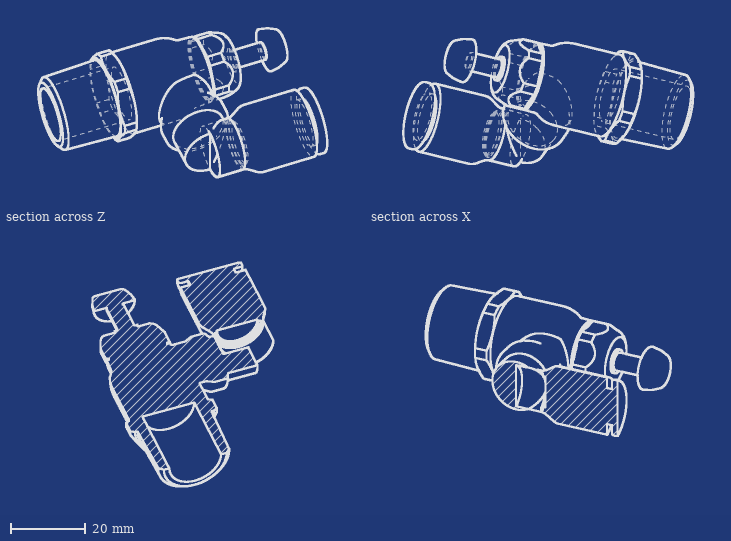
import cadquery as cq
import math

BORE_RADIUS = 7.4
THREAD_TIP_RADIUS = 9.05
THREAD_START_DIAMETER = 20.6
THREAD_START_RADIUS = THREAD_START_DIAMETER / 2
THREAD_CHAMFER = 1.15
THREAD_HALF_TAPER = 1 / 32
HEX_BOTTOM_Y = 16.0
HEX_TOP_Y = 20.65
HEX_FLATS = 23.0
HEX_CORNER_DIAMETER = 25.05
HEX_CORNER_RADIUS = HEX_CORNER_DIAMETER / 2
HEX_CHAMFER = 0.6
BODY_RADIUS = 11.4
SHOULDER_BOTTOM_Y = 34.1
SHOULDER_TOP_Y = 38.95
SHOULDER_TOP_RADIUS = 9.8
NECK_BOTTOM_Y = 40.35
NECK_BOTTOM_RADIUS = 9.4
NECK_TOP_Y = 43.95
NECK_TOP_RADIUS = 9.25
NECK_EDGE_CHAMFER = 0.2

NUT_BOTTOM_Y = 44.2
NUT_FLATS = 17.2
NUT_CORNER_DIAMETER = 18.55
NUT_CORNER_RADIUS = NUT_CORNER_DIAMETER / 2
NUT_CONE_Y = 48.25
NUT_ROUND_Y = 51.3
NUT_ROUND_RADIUS = 8.2
NUT_TOP_Y = 52.8
NUT_TOP_RADIUS = 6.6
RELIEF_RADIUS = 8.45

WASHER_TOP_Y = 53.4
WASHER_RADIUS = 3.3
STEM_RADIUS = 2.5
STEM_CHAMFER = 0.3
KNOB_BOTTOM_Y = 62.1
KNOB_BOTTOM_ROUND = 0.4
KNOB_DIAMETER = 11.95
KNOB_RADIUS = KNOB_DIAMETER / 2
KNOB_DOME_Y = 66.9
KNOB_DOME_RADIUS = 4.65
KNOB_DOME_BULGE = 0.3
KNOB_TOP_Y = 67.5
KNOB_TOP_RADIUS = 3.5

BRANCH_Y = 35.0
BRANCH_RADIUS = 8.0
FLARE_START_X = 13.0
FLARE_CONE_X = 13.65
FLARE_CONE_RADIUS = 8.25
FLARE_END_X = 14.9
FLARE_END_RADIUS = 8.9
COLLAR_START_X = 15.45
COLLAR_RADIUS = 9.1
COLLAR_END_X = 18.55
COLLAR_LIP_X = 19.3
COLLAR_LIP_RADIUS = 8.7
ELBOW_START_X = 19.85

ELBOW_X = 28.4
ELBOW_RADIUS = 7.3
ELBOW_WALL = 0.15
ELBOW_POCKET_RADIUS = 6.55
ELBOW_RECESS_RADIUS = 5.9
ELBOW_STEP = 0.7
TAPER_FOOT_Y = 42.4
TAPER_BOTTOM_Y = 43.9
TAPER_BOTTOM_RADIUS = 7.6
TAPER_TOP_Y = 46.25
TAPER_TOP_RADIUS = 9.05
SLEEVE_DIAMETER = 19.0
SLEEVE_RADIUS = SLEEVE_DIAMETER / 2
SLEEVE_BOTTOM_Y = 47.65
SLEEVE_TOP_Y = 62.4
RELEASE_NECK_RADIUS = 6.6
RELEASE_BOTTOM_Y = 63.7
RELEASE_TOP_Y = 65.6
RELEASE_DIAMETER = 18.55
RELEASE_RADIUS = RELEASE_DIAMETER / 2
RELEASE_TOP_ROUND = 0.4
RELEASE_BOTTOM_ROUND = 0.6


def turned(profile):
    """Revolve a profile, drawn as (radius, y), about the Y axis."""
    return profile.close().revolve(360, (0, 0, 0), (0, 1, 0))


def cylinder(radius, bottom_y, top_y):
    return cq.Workplane("XZ", origin=(0, bottom_y, 0)).circle(radius).extrude(bottom_y - top_y)


def hexagon(flats, bottom_y, top_y):
    """Hexagonal prism along Y with two flats facing +Z and -Z."""
    across_corners = flats / math.cos(math.pi / 6)
    return cq.Workplane("XZ", origin=(0, bottom_y, 0)).polygon(6, across_corners).extrude(bottom_y - top_y)


def bulged_point(start, end, bulge):
    """Middle point of an arc that rises by bulge to the outer side of an upward chord."""
    run = end[0] - start[0]
    rise = end[1] - start[1]
    chord = math.hypot(run, rise)
    middle_radius = (start[0] + end[0]) / 2
    middle_y = (start[1] + end[1]) / 2
    return middle_radius + bulge * rise / chord, middle_y - bulge * run / chord


def make_body():
    thread_top_radius = THREAD_START_RADIUS + THREAD_HALF_TAPER * (HEX_BOTTOM_Y - THREAD_CHAMFER)
    profile = (
        cq.Workplane("XY")
        .lineTo(THREAD_TIP_RADIUS, 0)
        .lineTo(THREAD_START_RADIUS, THREAD_CHAMFER)
        .lineTo(thread_top_radius, HEX_BOTTOM_Y)
        .lineTo(BODY_RADIUS, HEX_BOTTOM_Y)
        .lineTo(BODY_RADIUS, SHOULDER_BOTTOM_Y)
        .tangentArcPoint((SHOULDER_TOP_RADIUS, SHOULDER_TOP_Y), relative=False)
        .tangentArcPoint((NECK_BOTTOM_RADIUS, NECK_BOTTOM_Y), relative=False)
        .lineTo(NECK_TOP_RADIUS, NECK_TOP_Y - NECK_EDGE_CHAMFER)
        .lineTo(NECK_TOP_RADIUS - NECK_EDGE_CHAMFER, NECK_TOP_Y)
        .lineTo(0, NECK_TOP_Y)
    )
    return turned(profile).union(make_body_hex())


def make_body_hex():
    """Wrench hexagon whose corners are rounded and chamfered on both sides."""
    envelope = turned(
        cq.Workplane("XY")
        .moveTo(0, HEX_BOTTOM_Y)
        .lineTo(BODY_RADIUS, HEX_BOTTOM_Y)
        .lineTo(HEX_CORNER_RADIUS, HEX_BOTTOM_Y + HEX_CHAMFER)
        .lineTo(HEX_CORNER_RADIUS, HEX_TOP_Y - HEX_CHAMFER)
        .lineTo(BODY_RADIUS, HEX_TOP_Y)
        .lineTo(0, HEX_TOP_Y)
    )
    return hexagon(HEX_FLATS, HEX_BOTTOM_Y, HEX_TOP_Y).intersect(envelope)


def make_nut():
    envelope = turned(
        cq.Workplane("XY")
        .moveTo(0, NUT_BOTTOM_Y)
        .lineTo(NUT_CORNER_RADIUS, NUT_BOTTOM_Y)
        .lineTo(NUT_CORNER_RADIUS, NUT_CONE_Y)
        .lineTo(NUT_ROUND_RADIUS, NUT_ROUND_Y)
        .tangentArcPoint((NUT_TOP_RADIUS, NUT_TOP_Y), relative=False)
        .lineTo(0, NUT_TOP_Y)
    )
    nut = hexagon(NUT_FLATS, NUT_BOTTOM_Y, NUT_TOP_Y).intersect(envelope)
    return nut.union(cylinder(RELIEF_RADIUS, NECK_TOP_Y, NUT_BOTTOM_Y))


def make_knob():
    dome_start = (KNOB_RADIUS, KNOB_BOTTOM_Y + KNOB_BOTTOM_ROUND)
    dome_end = (KNOB_DOME_RADIUS, KNOB_DOME_Y)
    profile = (
        cq.Workplane("XY")
        .moveTo(0, NUT_TOP_Y)
        .lineTo(WASHER_RADIUS, NUT_TOP_Y)
        .lineTo(WASHER_RADIUS, WASHER_TOP_Y)
        .lineTo(STEM_RADIUS, WASHER_TOP_Y)
        .lineTo(STEM_RADIUS, KNOB_BOTTOM_Y - STEM_CHAMFER)
        .lineTo(STEM_RADIUS - STEM_CHAMFER, KNOB_BOTTOM_Y)
        .lineTo(KNOB_RADIUS - KNOB_BOTTOM_ROUND, KNOB_BOTTOM_Y)
        .tangentArcPoint(dome_start, relative=False)
        .threePointArc(bulged_point(dome_start, dome_end, KNOB_DOME_BULGE), dome_end)
        .tangentArcPoint((KNOB_TOP_RADIUS, KNOB_TOP_Y), relative=False)
        .lineTo(0, KNOB_TOP_Y)
    )
    return turned(profile)


def make_branch():
    profile = (
        cq.Workplane("XY", origin=(0, BRANCH_Y, 0))
        .lineTo(0, BRANCH_RADIUS)
        .lineTo(FLARE_START_X, BRANCH_RADIUS)
        .tangentArcPoint((FLARE_CONE_X, FLARE_CONE_RADIUS), relative=False)
        .lineTo(FLARE_END_X, FLARE_END_RADIUS)
        .tangentArcPoint((COLLAR_START_X, COLLAR_RADIUS), relative=False)
        .lineTo(COLLAR_END_X, COLLAR_RADIUS)
        .tangentArcPoint((COLLAR_LIP_X, COLLAR_LIP_RADIUS), relative=False)
        .lineTo(ELBOW_START_X, ELBOW_RADIUS)
        .lineTo(ELBOW_X, ELBOW_RADIUS)
        .lineTo(ELBOW_X, 0)
        .close()
    )
    return profile.revolve(360, (0, 0, 0), (1, 0, 0))


def make_sleeve():
    profile = (
        cq.Workplane("XY")
        .moveTo(0, BRANCH_Y)
        .lineTo(ELBOW_RADIUS, BRANCH_Y)
        .lineTo(ELBOW_RADIUS, TAPER_FOOT_Y)
        .tangentArcPoint((TAPER_BOTTOM_RADIUS, TAPER_BOTTOM_Y), relative=False)
        .lineTo(TAPER_TOP_RADIUS, TAPER_TOP_Y)
        .tangentArcPoint((SLEEVE_RADIUS, SLEEVE_BOTTOM_Y), relative=False)
        .lineTo(SLEEVE_RADIUS, SLEEVE_TOP_Y)
        .lineTo(RELEASE_NECK_RADIUS, SLEEVE_TOP_Y)
        .lineTo(RELEASE_NECK_RADIUS, RELEASE_BOTTOM_Y)
        .lineTo(RELEASE_RADIUS - RELEASE_BOTTOM_ROUND, RELEASE_BOTTOM_Y)
        .tangentArcPoint((RELEASE_RADIUS, RELEASE_BOTTOM_Y + RELEASE_BOTTOM_ROUND), relative=False)
        .lineTo(RELEASE_RADIUS, RELEASE_TOP_Y - RELEASE_TOP_ROUND)
        .tangentArcPoint((RELEASE_RADIUS - RELEASE_TOP_ROUND, RELEASE_TOP_Y), relative=False)
        .lineTo(0, RELEASE_TOP_Y)
    )
    return turned(profile).translate((ELBOW_X, 0, 0))


def make_elbow_pocket():
    """Stepped blind pocket that opens at the half-round end of the elbow."""
    pocket_top_y = TAPER_FOOT_Y + ELBOW_STEP
    recess_top_y = pocket_top_y + ELBOW_STEP
    pocket = cylinder(ELBOW_RADIUS - ELBOW_WALL, BRANCH_Y, TAPER_FOOT_Y)
    pocket = pocket.union(cylinder(ELBOW_POCKET_RADIUS, TAPER_FOOT_Y, pocket_top_y))
    pocket = pocket.union(cylinder(ELBOW_RECESS_RADIUS, pocket_top_y, recess_top_y))
    return pocket.translate((ELBOW_X, 0, 0))


elbow = make_branch().union(make_sleeve()).cut(make_elbow_pocket())
bore = cylinder(BORE_RADIUS, 0, HEX_TOP_Y)
result = make_body().union(make_nut()).union(make_knob()).union(elbow).cut(bore)